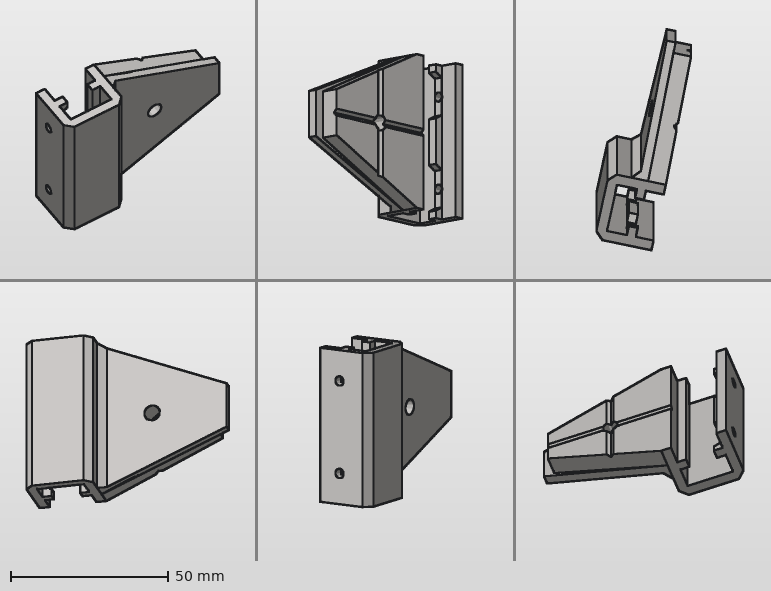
import cadquery as cq

height = 50.0
length = 64.0
width = 18.5
mid_z = height / 2

channel_depth = 22.0
wall = 3.3
corner_chamfer = 2.5

rib_x = 5.8
rib_thickness = 2.9
rib_height = 3.0
rib_center_x = rib_x + rib_thickness / 2

screw_diameter = 3.0
screw_positions_z = (10.0, 40.0)
gap_floor = 0.2
gap_floor_width = 12.2
gap_top_width = 15.2

tip_height = 15.0
pad_end_y = 60.5
root_chamfer = 2.5

center_y = 39.4
center_hole_diameter = 5.0
groove_depth = 1.12
groove_half_width = 1.12


def make_channel():
    """Channel with two chamfered outer corners along its full height."""
    outer = cq.Workplane("XY").box(width, channel_depth, height, centered=False)
    outer = outer.edges("|Z and >X").chamfer(corner_chamfer)
    cavity = (
        cq.Workplane("XY")
        .box(width - wall, channel_depth - 2 * wall, height, centered=False)
        .translate((0, wall, 0))
    )
    return outer.cut(cavity)


def make_rib(start_y):
    """Full-height rib starting at the given Y."""
    return (
        cq.Workplane("XY")
        .box(rib_thickness, rib_height, height, centered=False)
        .translate((rib_x, start_y, 0))
    )


def make_rib_gap(z):
    """Flared gap that lowers the front rib around a screw hole."""
    floor_y = wall + gap_floor
    top_y = wall + rib_height
    return (
        cq.Workplane("YZ", origin=(rib_x, 0, 0))
        .moveTo(floor_y, z - gap_floor_width / 2)
        .lineTo(top_y, z - gap_top_width / 2)
        .lineTo(top_y, z + gap_top_width / 2)
        .lineTo(floor_y, z + gap_floor_width / 2)
        .close()
        .extrude(rib_thickness)
    )


def make_screw_hole(z):
    """Hole through the front wall and the rib left in the gap."""
    return (
        cq.Workplane("XZ", origin=(rib_center_x, 0, z))
        .circle(screw_diameter / 2)
        .extrude(-(wall + rib_height))
    )


def make_taper(start_x, thickness, end_y):
    """Trapezoid that narrows from the channel height to the tip height."""
    return (
        cq.Workplane("YZ", origin=(start_x, 0, 0))
        .moveTo(channel_depth, 0)
        .lineTo(end_y, mid_z - tip_height / 2)
        .lineTo(end_y, mid_z + tip_height / 2)
        .lineTo(channel_depth, height)
        .close()
        .extrude(thickness)
    )


def make_root_support():
    """Triangular support behind the plate, trimmed to the plate's taper."""
    plate_back_x = rib_x + rib_thickness
    triangle = (
        cq.Workplane("XY")
        .moveTo(plate_back_x, channel_depth)
        .lineTo(plate_back_x + root_chamfer, channel_depth)
        .lineTo(plate_back_x, channel_depth + root_chamfer)
        .close()
        .extrude(height)
    )
    return triangle.intersect(make_taper(plate_back_x, root_chamfer, length))


def make_v_groove(plane, origin, run):
    """V groove cut into the pad face at X = 0."""
    return (
        cq.Workplane(plane, origin=origin)
        .moveTo(0, -groove_half_width)
        .lineTo(groove_depth, 0)
        .lineTo(0, groove_half_width)
        .close()
        .extrude(run)
    )


def make_center_hole():
    """Hole through the pad and the plate."""
    return (
        cq.Workplane("YZ", origin=(0, center_y, mid_z))
        .circle(center_hole_diameter / 2)
        .extrude(rib_x + rib_thickness)
    )


front_rib = make_rib(wall)
for screw_z in screw_positions_z:
    front_rib = front_rib.cut(make_rib_gap(screw_z))

result = make_channel().union(front_rib)
result = result.union(make_rib(channel_depth - wall - rib_height))
result = result.union(make_taper(rib_x, rib_thickness, length))
result = result.union(make_taper(0, rib_x, pad_end_y))
result = result.union(make_root_support())

for screw_z in screw_positions_z:
    result = result.cut(make_screw_hole(screw_z))

groove_start_y = channel_depth - wall
result = result.cut(make_v_groove("XY", (0, center_y, 0), height))
result = result.cut(make_v_groove("XZ", (0, groove_start_y, mid_z), groove_start_y - pad_end_y))
result = result.cut(make_center_hole())